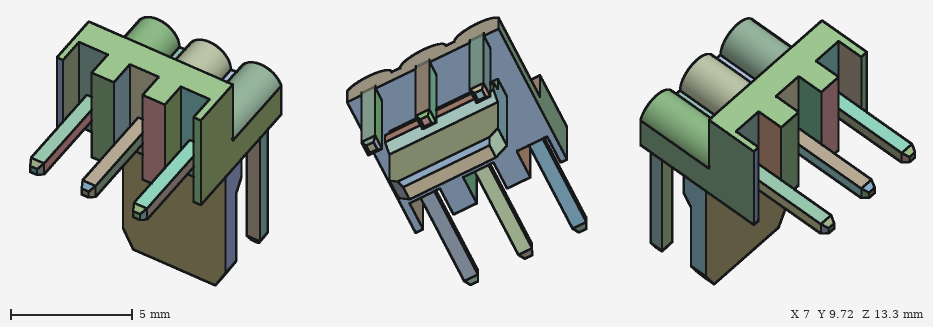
import cadquery as cq
import math


pin_count = 3
pitch = 2.5
pin_size = 0.64
row_steps = [i - (pin_count - 1) / 2 for i in range(pin_count)]
pin_positions = [step * pitch for step in row_steps]

housing_width = 7.0
housing_depth = 6.28
upright_depth = 2.49
upright_height = 4.9
channel_width = 1.4
channel_depth = 1.25
channel_pitch = 2.47
channel_row_shift = -0.03
channel_positions = [channel_row_shift + step * channel_pitch for step in row_steps]

barrel_radius = 1.05
barrel_top = 2.37
barrel_axis_height = barrel_top - barrel_radius

pin_front_reach = 3.4
pin_rear_overhang = 0.04
pin_axis_height = 1.72
tail_length = 7.51
tip_length = 0.3
tip_size = 0.35

blade_width = 5.0
blade_thickness = 0.84
blade_front = 3.54
overall_height = 13.3
blade_length = overall_height - upright_height
blade_corner_width = 0.5
blade_corner_height = 1.0
blade_rear_bevel = 0.25

catch_projection = 0.4
catch_top = 1.5
catch_flat_top = 1.84
catch_flat_bottom = 2.89
catch_bottom = 3.48


def side_extrusion(profile_points, width):
    """Extrude a Y-Z outline along X, centred on X = 0."""
    return cq.Workplane("YZ").polyline(profile_points).close().extrude(width / 2, both=True)


def make_housing():
    """L-shaped block with one barrel per pin at the rear and one channel per pin in front."""
    body = side_extrusion(
        [
            (0, 0),
            (housing_depth, 0),
            (housing_depth, barrel_axis_height),
            (upright_depth, barrel_axis_height),
            (upright_depth, upright_height),
            (0, upright_height),
        ],
        housing_width,
    )

    rear_face = cq.Workplane("XZ", origin=(0, housing_depth, 0))
    barrels = (
        rear_face.pushPoints([(x, barrel_axis_height) for x in pin_positions])
        .circle(barrel_radius)
        .extrude(housing_depth - upright_depth)
    )
    envelope = cq.Workplane("XY").box(
        housing_width, housing_depth, upright_height, centered=(True, False, False)
    )
    body = body.union(barrels.intersect(envelope))

    channels = (
        cq.Workplane("XY")
        .pushPoints([(x, channel_depth / 2) for x in channel_positions])
        .rect(channel_width, channel_depth)
        .extrude(upright_height)
    )
    return body.cut(channels)


def make_tip(plane):
    """Square taper that ends a pin, growing along the normal of the given plane."""
    taper = math.degrees(math.atan((pin_size - tip_size) / 2 / tip_length))
    return cq.Workplane(plane).rect(pin_size, pin_size).extrude(tip_length, taper=taper)


def make_pin(x):
    """Square pin running rearward through the housing and bent down into a tail."""
    half = pin_size / 2
    rear = housing_depth + pin_rear_overhang
    front_shoulder = tip_length - pin_front_reach
    tail_shoulder = tip_length - tail_length
    pin_top = pin_axis_height + half
    pin_bottom = pin_axis_height - half

    bar = side_extrusion(
        [
            (front_shoulder, pin_bottom),
            (rear - pin_size, pin_bottom),
            (rear - pin_size, tail_shoulder),
            (rear, tail_shoulder),
            (rear, pin_top),
            (front_shoulder, pin_top),
        ],
        pin_size,
    )
    bend_radius = pin_top
    outer_bend = cq.selectors.NearestToPointSelector((0, rear, pin_top))
    bar = bar.edges(outer_bend).fillet(bend_radius)

    front_tip = make_tip(cq.Plane((0, front_shoulder, pin_axis_height), (1, 0, 0), (0, -1, 0)))
    tail_tip = make_tip(cq.Plane((0, rear - half, tail_shoulder), (1, 0, 0), (0, 0, -1)))
    return bar.union(front_tip).union(tail_tip).translate((x, 0, 0))


def make_blade():
    """Flat blade with a catch on its rear face and a bevelled lower end."""
    blade_rear = blade_front + blade_thickness
    catch_rear = blade_rear + catch_projection
    blade = side_extrusion(
        [
            (blade_front, 0),
            (blade_front, -blade_length),
            (blade_rear - blade_rear_bevel, -blade_length),
            (blade_rear, blade_rear_bevel - blade_length),
            (blade_rear, -catch_bottom),
            (catch_rear, -catch_flat_bottom),
            (catch_rear, -catch_flat_top),
            (blade_rear, -catch_top),
            (blade_rear, 0),
        ],
        blade_width,
    )

    half_width = blade_width / 2
    for side in (-1, 1):
        corner = (
            cq.Workplane("XZ", origin=(0, blade_rear, 0))
            .moveTo(side * half_width, -blade_length)
            .lineTo(side * (half_width - blade_corner_width), -blade_length)
            .lineTo(side * half_width, blade_corner_height - blade_length)
            .close()
            .extrude(blade_thickness)
        )
        blade = blade.cut(corner)
    return blade


result = make_housing().union(make_blade())
for pin_x in pin_positions:
    result = result.union(make_pin(pin_x))